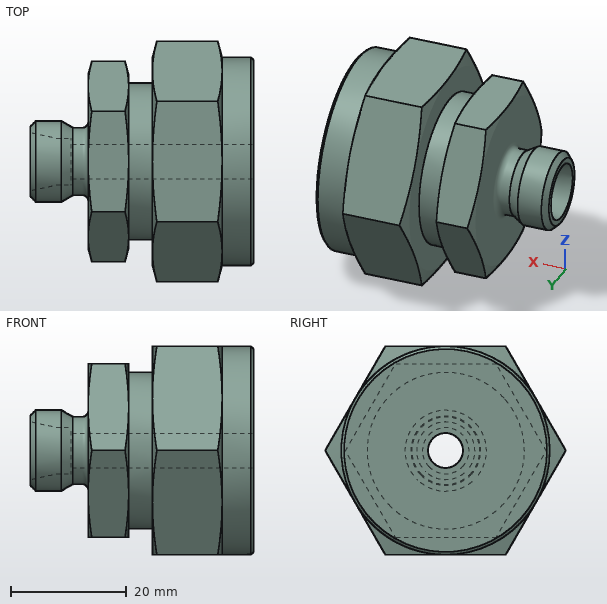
import cadquery as cq
import math

nose_end = 5.4
cone_end = 7.4
small_hex_start = 10.0
small_hex_width = 7.0
large_hex_start = 21.1
large_hex_width = 12.0
total_length = 38.6

large_hex_corners = 41.55
large_hex_flats = large_hex_corners * math.cos(math.pi / 6)
small_hex_flats = 30.0
nose_diameter = 14.0
groove_diameter = 11.7
neck_diameter = 27.1
collar_diameter = large_hex_flats

nose_chamfer = 1.0
groove_fillet = 1.0
collar_chamfer = 0.5
hex_chamfer_angle = math.radians(15)

seat_mouth_diameter = 10.0
socket_diameter = 8.0
tube_stop_depth = 7.0
seat_half_angle = math.radians(12)
bore_diameter = 6.0


def revolve_about_x(profile):
    """Revolve a closed (axial, radial) profile about the X axis."""
    return profile.close().revolve(360, (0, 0, 0), (1, 0, 0))


def chamfered_hex(start, width, flats):
    """Hexagon with corners on Y, its corners turned back from the inscribed circle on both faces."""
    flat_radius = flats / 2
    corner_radius = flat_radius / math.cos(math.pi / 6)
    chamfer_depth = (corner_radius - flat_radius) * math.tan(hex_chamfer_angle)
    end = start + width

    prism = cq.Workplane("YZ", origin=(start, 0, 0)).polygon(6, 2 * corner_radius).extrude(width)
    turned_envelope = revolve_about_x(
        cq.Workplane("XY")
        .moveTo(start, 0)
        .lineTo(start, flat_radius)
        .lineTo(start + chamfer_depth, corner_radius)
        .lineTo(end - chamfer_depth, corner_radius)
        .lineTo(end, flat_radius)
        .lineTo(end, 0)
    )
    return prism.intersect(turned_envelope)


def turned_body():
    """Nose, relief groove, neck and end collar as one turned shape."""
    nose_radius = nose_diameter / 2
    groove_radius = groove_diameter / 2
    neck_radius = neck_diameter / 2
    collar_radius = collar_diameter / 2
    collar_start = large_hex_start + large_hex_width
    fillet_sag = groove_fillet * (1 - math.sqrt(0.5))

    return revolve_about_x(
        cq.Workplane("XY")
        .lineTo(0, nose_radius - nose_chamfer)
        .lineTo(nose_chamfer, nose_radius)
        .lineTo(nose_end, nose_radius)
        .lineTo(cone_end, groove_radius)
        .lineTo(small_hex_start - groove_fillet, groove_radius)
        .threePointArc(
            (small_hex_start - fillet_sag, groove_radius + fillet_sag),
            (small_hex_start, groove_radius + groove_fillet),
        )
        .lineTo(small_hex_start, neck_radius)
        .lineTo(collar_start, neck_radius)
        .lineTo(collar_start, collar_radius)
        .lineTo(total_length - collar_chamfer, collar_radius)
        .lineTo(total_length, collar_radius - collar_chamfer)
        .lineTo(total_length, 0)
    )


def bore():
    """Tapered seat and straight socket at the nose, and the hole running through the whole part."""
    mouth_radius = seat_mouth_diameter / 2
    socket_radius = socket_diameter / 2
    bore_radius = bore_diameter / 2
    seat_depth = (mouth_radius - socket_radius) / math.tan(seat_half_angle)

    return revolve_about_x(
        cq.Workplane("XY")
        .lineTo(0, mouth_radius)
        .lineTo(seat_depth, socket_radius)
        .lineTo(tube_stop_depth, socket_radius)
        .lineTo(tube_stop_depth, bore_radius)
        .lineTo(total_length, bore_radius)
        .lineTo(total_length, 0)
    )


small_hex = chamfered_hex(small_hex_start, small_hex_width, small_hex_flats)
large_hex = chamfered_hex(large_hex_start, large_hex_width, large_hex_flats)

result = turned_body().union(small_hex).union(large_hex).cut(bore())